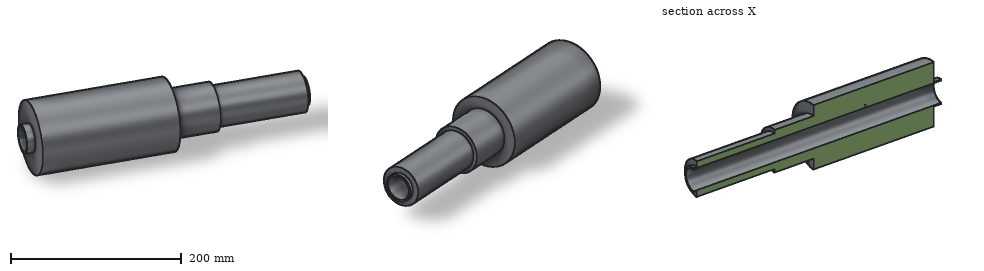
import cadquery as cq

total_length = 350.0
bore_diameter = 30.0
tube_diameter = 35.0
body_diameter = 90.0
collar_diameter = 60.0
shank_diameter = 50.0

front_stub_length = 10.0
body_length = 170.0
collar_length = 55.0
rear_stub_length = 5.0

front_y = -total_length / 2
body_start = front_y + front_stub_length
collar_start = body_start + body_length
shank_start = collar_start + collar_length
shank_end = front_y + total_length - rear_stub_length


def cylinder_along_y(diameter, start, end):
    """Solid cylinder centred on the Y axis between two Y stations."""
    plane = cq.Plane(origin=(0, start, 0), xDir=(1, 0, 0), normal=(0, 1, 0))
    return cq.Workplane(plane).circle(diameter / 2).extrude(end - start)


tube = cylinder_along_y(tube_diameter, front_y, front_y + total_length)
body = cylinder_along_y(body_diameter, body_start, collar_start)
collar = cylinder_along_y(collar_diameter, collar_start, shank_start)
shank = cylinder_along_y(shank_diameter, shank_start, shank_end)

bore = cylinder_along_y(bore_diameter, front_y, front_y + total_length)

result = tube.union(body).union(collar).union(shank).cut(bore)